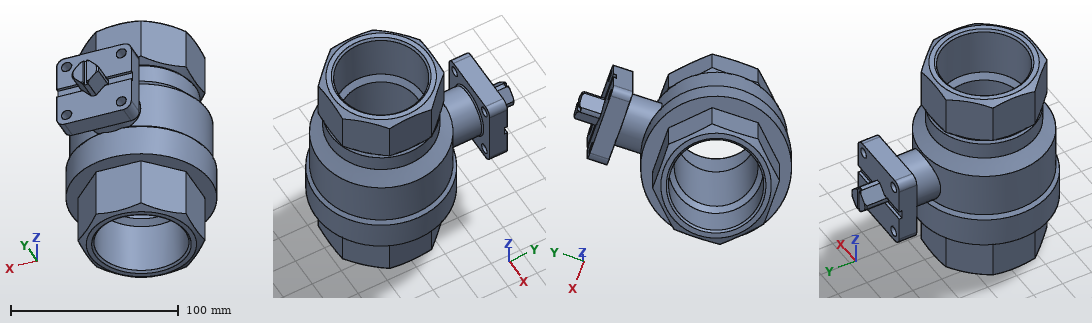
import cadquery as cq
import math

total_height = 140.0
nut_flats = 70.0
nut_face_diameter = 65.8
nut_chamfer_angle = 30.0
upper_nut_bottom = 108.2
collar_diameter = 90.0
collar_bottom = 33.9
collar_top = 53.9
body_diameter = 85.5
body_top = 87.0
neck_diameter = nut_flats
neck_top = 107.4
neck_chamfer = 1.4
groove_diameter = nut_face_diameter

bore_diameter = 50.0
thread_diameter = 56.7
thread_depth = 33.6
mouth_diameter = 59.4

stem_height = 69.0
stem_diameter = 32.5
stem_foot_diameter = 34.0
stem_foot_length = 1.0
stem_root = 33.6
flange_back = 60.8
flange_front = 73.0
flange_width = 48.3
flange_corner_radius = 5.2
bolt_circle_diameter = 50.0
bolt_hole_diameter = 6.5
notch_width = 5.6
notch_depth = 2.0

drive_end = 87.0
drive_flats = 14.1
drive_diameter = 17.2
drive_chamfer = 1.0
slot_width = 2.1
slot_depth = 1.8


def turned(profile):
    """Solid turned about the Z axis from (radius, height) points."""
    return cq.Workplane("XZ").polyline(profile).close().revolve(360, (0, 0), (0, 1))


def mount_plane(distance):
    """Workplane facing +Y on the stem axis, at a distance from the bore axis."""
    plane = cq.Plane(origin=(0, distance, stem_height), xDir=(-1, 0, 0), normal=(0, 1, 0))
    return cq.Workplane(plane)


def make_nut(bottom, top):
    """Octagonal nut with flats facing X and Y and both faces chamfered at the corners."""
    octagon = (
        cq.Workplane("XY", origin=(0, 0, bottom))
        .polygon(8, nut_flats, circumscribed=True)
        .extrude(top - bottom)
    )
    corner_radius = nut_flats / 2 / math.cos(math.pi / 8)
    face_radius = nut_face_diameter / 2
    chamfer_height = (corner_radius - face_radius) * math.tan(math.radians(nut_chamfer_angle))
    envelope = turned([
        (0, bottom),
        (face_radius, bottom),
        (corner_radius, bottom + chamfer_height),
        (corner_radius, top - chamfer_height),
        (face_radius, top),
        (0, top),
    ])
    return octagon.intersect(envelope)


def make_body():
    """Collar, body, sloping shoulders, neck and the groove under the upper nut."""
    collar_radius = collar_diameter / 2
    body_radius = body_diameter / 2
    neck_radius = neck_diameter / 2
    groove_radius = groove_diameter / 2
    return turned([
        (0, collar_bottom),
        (collar_radius, collar_bottom),
        (collar_radius, collar_top),
        (body_radius, collar_top + collar_radius - body_radius),
        (body_radius, body_top),
        (neck_radius, body_top + body_radius - neck_radius),
        (neck_radius, neck_top - neck_chamfer),
        (neck_radius - neck_chamfer, neck_top),
        (groove_radius, neck_top),
        (groove_radius, upper_nut_bottom),
        (0, upper_nut_bottom),
    ])


def make_bore():
    """Through bore with a wider thread length and a bevelled mouth at each end."""
    bore_radius = bore_diameter / 2
    thread_radius = thread_diameter / 2
    mouth_radius = mouth_diameter / 2
    lower_half = [
        (mouth_radius, 0),
        (thread_radius, mouth_radius - thread_radius),
        (thread_radius, thread_depth),
        (bore_radius, thread_depth + thread_radius - bore_radius),
    ]
    upper_half = [(radius, total_height - height) for radius, height in reversed(lower_half)]
    return turned([(0, 0)] + lower_half + upper_half + [(0, total_height)])


def make_stem():
    """Round stem, flaring out where it meets the flange."""
    stem = mount_plane(stem_root).circle(stem_diameter / 2).extrude(flange_back - stem_root)
    foot = (
        mount_plane(flange_back - stem_foot_length)
        .circle(stem_diameter / 2)
        .workplane(offset=stem_foot_length)
        .circle(stem_foot_diameter / 2)
        .loft()
    )
    return stem.union(foot)


def make_flange():
    """Square flange with rounded corners, four bolt holes and a notch across its front."""
    thickness = flange_front - flange_back
    bolt_spacing = bolt_circle_diameter / math.sqrt(2)
    flange = (
        mount_plane(flange_back)
        .rect(flange_width, flange_width)
        .extrude(thickness)
        .edges("|Y").fillet(flange_corner_radius)
    )
    bolt_holes = (
        mount_plane(flange_back)
        .rect(bolt_spacing, bolt_spacing, forConstruction=True)
        .vertices()
        .circle(bolt_hole_diameter / 2)
        .extrude(thickness)
    )
    notch = (
        mount_plane(flange_front - notch_depth)
        .rect(flange_width, notch_width)
        .extrude(notch_depth)
    )
    return flange.cut(bolt_holes).cut(notch)


def make_drive():
    """Square drive with rounded corners and a screwdriver slot in its end."""
    base = flange_front - notch_depth
    length = drive_end - base
    square = (
        mount_plane(base)
        .transformed(rotate=(0, 0, 45))
        .rect(drive_flats, drive_flats)
        .extrude(length)
    )
    envelope = (
        mount_plane(base)
        .circle(drive_diameter / 2)
        .extrude(length)
        .faces(">Y").chamfer(drive_chamfer)
    )
    slot = (
        mount_plane(drive_end - slot_depth)
        .rect(slot_width, drive_diameter)
        .extrude(slot_depth)
    )
    return square.intersect(envelope).cut(slot)


result = (
    make_body()
    .union(make_nut(0, collar_top))
    .union(make_nut(upper_nut_bottom, total_height))
    .union(make_stem())
    .cut(make_bore())
    .union(make_flange())
    .union(make_drive())
)